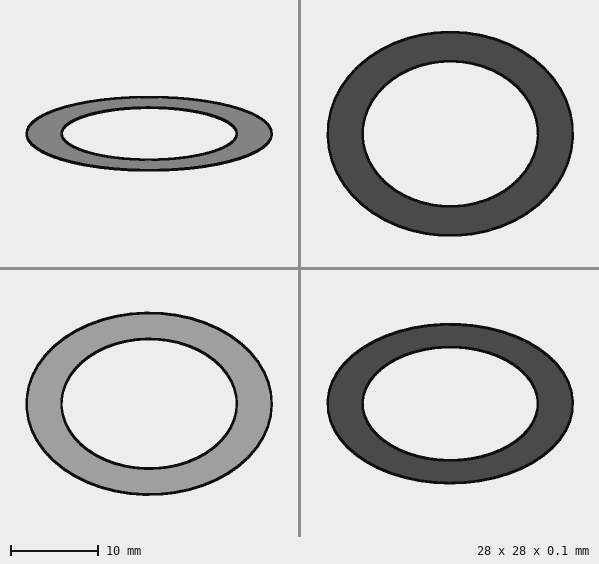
import cadquery as cq

outer_diameter = 28.0
inner_diameter = 20.0
thickness = 0.1

result = (
    cq.Workplane("XY")
    .circle(outer_diameter / 2)
    .circle(inner_diameter / 2)
    .extrude(thickness)
)